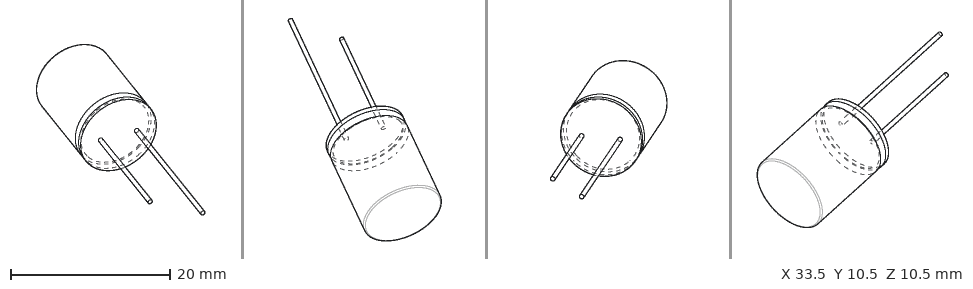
import cadquery as cq

overall_length = 33.5

can_diameter = 10.5
can_radius = can_diameter / 2
closed_end_fillet = 0.2
groove_radius = 0.5
flange_width = 0.6

long_lead_length = 20.0
short_lead_length = 15.0
lead_diameter = 0.6
lead_spacing = 5.0

can_length = overall_length - long_lead_length
groove_center_x = -flange_width - groove_radius


def make_can():
    """Solid can with a rounded closed end and a half-round groove beside the flange."""
    body = cq.Workplane("YZ").circle(can_radius).extrude(-can_length)
    body = body.faces("<X").edges().fillet(closed_end_fillet)
    groove = (
        cq.Workplane("XY")
        .center(groove_center_x, can_radius)
        .circle(groove_radius)
        .revolve(360, (0, -can_radius), (1, -can_radius))
    )
    return body.cut(groove)


def make_lead(y, length):
    """Round wire that starts on the flange face at the given Y."""
    return cq.Workplane("YZ").center(y, 0).circle(lead_diameter / 2).extrude(length)


can = make_can()

leads = []
for side, length in ((1, long_lead_length), (-1, short_lead_length)):
    leads.append(make_lead(side * lead_spacing / 2, length).val())

result = cq.Compound.makeCompound([can.val(), *leads])